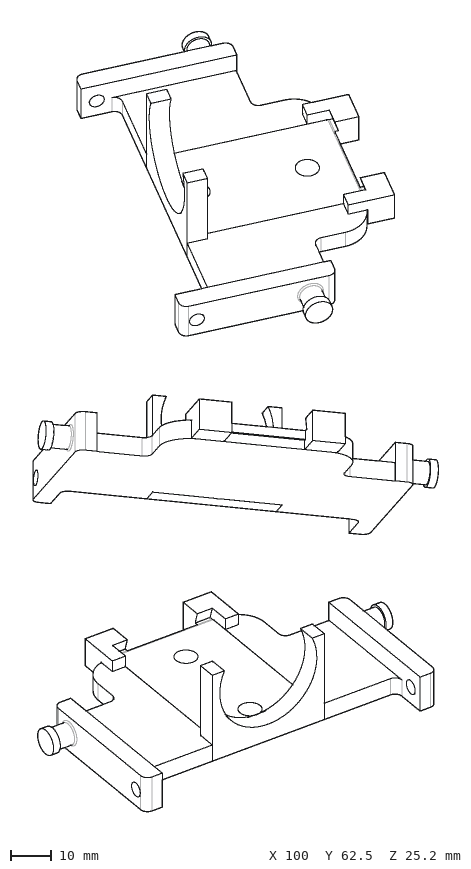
import cadquery as cq


base_top = 4.8
base_front = 10.0
shoulder_y = 39.8
base_back = 55.6
neck_half_width = 24.5
neck_corner_radius = 7.6
inner_radius = 2.0

arm_inner_x = 38.0
arm_outer_x = 43.0
arm_length = 40.0
arm_height = 10.0
arm_corner_radius = 2.0
arm_hole_diameter = 3.8
arm_hole_y = 4.1
arm_hole_z = 4.8

pin_y = 33.2
pin_z = 5.3
pin_diameter = 5.8
pin_tip_x = 50.0
pin_head_diameter = 7.0
pin_head_thickness = 2.0
pin_root_radius = 0.4

peg_diameter = 5.9
peg_positions_y = (18.0, 46.0)

tongue_half_width = 14.7
tongue_thickness = base_top / 2
tongue_back = 56.3
tongue_edge_run = 0.4
tongue_edge_drop = 0.1
cradle_half_width = 16.5
cradle_thickness = 5.2
cradle_back = base_front + cradle_thickness
cradle_top = 25.2
cradle_bore_radius = 14.3
hook_inner_x = 10.3
hook_outer_x = 18.6
hook_front = 50.6
hook_back = 62.5
hook_top = 7.9
toe_undercut = 0.9


def block(x_range, y_range, z_range):
    """Box between the given limits on each axis."""
    size = [high - low for low, high in (x_range, y_range, z_range)]
    corner = (x_range[0], y_range[0], z_range[0])
    return cq.Workplane("XY").box(*size, centered=False).translate(corner)


def mirrored_pair(shape):
    """The shape together with its mirror image across X = 0."""
    return shape.union(shape.mirror("YZ"))


def side_profile(points, x_start, x_end):
    """Closed (Y, Z) outline extruded along X."""
    profile = cq.Workplane("YZ").workplane(offset=x_start).polyline(points).close()
    return profile.extrude(x_end - x_start)


def x_cylinder(diameter, x_start, x_end, y, z):
    """Cylinder along X."""
    plane = cq.Workplane("YZ").workplane(offset=x_start)
    return plane.center(y, z).circle(diameter / 2).extrude(x_end - x_start)


def make_pegs():
    centres = [(0, y) for y in peg_positions_y]
    return cq.Workplane("XY").pushPoints(centres).circle(peg_diameter / 2).extrude(base_top)


def make_plate():
    wide = block((-arm_inner_x, arm_inner_x), (base_front, shoulder_y), (0, base_top))
    neck = block((-neck_half_width, neck_half_width), (base_front, base_back), (0, base_top))
    neck = neck.edges("|Z and >Y").fillet(neck_corner_radius)
    return wide.union(neck)


def make_arm():
    arm = block((arm_inner_x, arm_outer_x), (0, arm_length), (0, arm_height))
    arm = arm.edges("|Z and >X").fillet(arm_corner_radius)
    return arm.cut(x_cylinder(arm_hole_diameter, arm_inner_x, arm_outer_x, arm_hole_y, arm_hole_z))


def make_pin():
    """Pin with a flat head and a concave flare where it leaves the arm."""
    shaft_radius = pin_diameter / 2
    head_radius = pin_head_diameter / 2
    head_x = pin_tip_x - pin_head_thickness
    profile = (
        cq.Workplane("XY")
        .moveTo(arm_outer_x, 0)
        .lineTo(arm_outer_x, shaft_radius + pin_root_radius)
        .radiusArc((arm_outer_x + pin_root_radius, shaft_radius), -pin_root_radius)
        .lineTo(head_x, shaft_radius)
        .lineTo(head_x, head_radius)
        .lineTo(pin_tip_x, head_radius)
        .lineTo(pin_tip_x, 0)
        .close()
    )
    return profile.revolve(360, (0, 0, 0), (1, 0, 0)).translate((0, pin_y, pin_z))


def inner_corner(x, y):
    """Selector for the vertical plate edges near (x, y) and (-x, y)."""
    reach = 0.1
    selector = None
    for side in (-1, 1):
        low = (side * x - reach, y - reach, 0)
        high = (side * x + reach, y + reach, base_top)
        box = cq.selectors.BoxSelector(low, high)
        selector = box if selector is None else selector + box
    return selector


def make_base():
    base = make_plate().union(mirrored_pair(make_arm()))
    for x, y in ((neck_half_width, shoulder_y), (arm_inner_x, base_front)):
        base = base.edges("|Z").edges(inner_corner(x, y)).fillet(inner_radius)
    return base.union(mirrored_pair(make_pin()))


def make_tongue():
    floor = base_top - tongue_thickness
    outline = [
        (base_front, floor),
        (tongue_back, floor),
        (tongue_back, base_top - tongue_edge_drop),
        (tongue_back - tongue_edge_run, base_top),
        (base_front, base_top),
    ]
    return side_profile(outline, -tongue_half_width, tongue_half_width)


def make_cradle():
    """Upright whose open round seat rests tangent to the top of the tongue."""
    upright = block((-cradle_half_width, cradle_half_width), (base_front, cradle_back), (0, cradle_top))
    seat = cq.Workplane("XZ").center(0, base_top + cradle_bore_radius).circle(cradle_bore_radius)
    return upright.cut(seat.extrude(-cradle_back))


def make_hook():
    """L-shaped hook: a leg beside the tongue and a toe with a sloped front face behind it."""
    leg = block((tongue_half_width, hook_outer_x), (hook_front, hook_back), (base_top, hook_top))
    foot = block((hook_inner_x, hook_outer_x), (base_back, hook_back), (0, base_top - tongue_edge_drop))
    toe_outline = [
        (tongue_back + toe_undercut, 0),
        (hook_back, 0),
        (hook_back, hook_top),
        (tongue_back, hook_top),
        (tongue_back + toe_undercut, base_top),
    ]
    toe = side_profile(toe_outline, hook_inner_x, hook_outer_x)
    heel = block((tongue_half_width, hook_outer_x), (base_back, hook_back), (0, hook_top))
    return leg.union(foot).union(toe).union(heel)


def make_carriage():
    body = make_tongue().union(make_cradle()).union(mirrored_pair(make_hook()))
    return body.cut(make_pegs())


carriage = make_carriage()

base = make_base().cut(carriage)

result = cq.Compound.makeCompound([base.solids().val(), carriage.solids().val()])